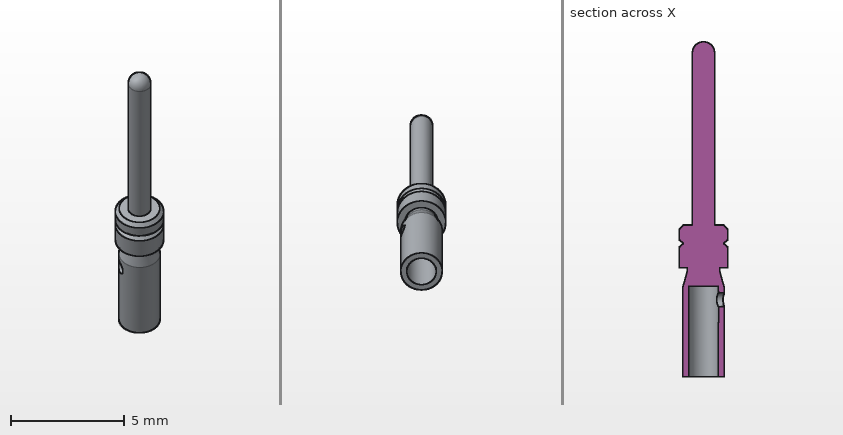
import cadquery as cq
import math

total_length = 14.8
pin_radius = 0.5
collar_diameter = 2.15
collar_radius = collar_diameter / 2
neck_radius = 0.74
barrel_radius = 0.92

barrel_top = 4.0
neck_bottom = 4.63
collar_bottom = 4.81
collar_top = 6.7
collar_chamfer = 0.18

groove_depth = 0.18
groove_height = 0.3
groove_bottom = 5.74
groove_top = groove_bottom + groove_height
groove_middle = groove_bottom + groove_height / 2

bore_radius = 0.65
bore_depth = 4.0
hole_radius = 0.3
hole_height = 3.4


def contact_body():
    """Revolve the half outline of the contact about the Z axis."""
    dome_base = total_length - pin_radius
    dome_offset = pin_radius * math.sqrt(0.5)
    return (
        cq.Workplane("XZ")
        .moveTo(0, 0)
        .lineTo(barrel_radius, 0)
        .lineTo(barrel_radius, barrel_top)
        .lineTo(neck_radius, neck_bottom)
        .lineTo(neck_radius, collar_bottom)
        .lineTo(collar_radius, collar_bottom)
        .lineTo(collar_radius, groove_bottom)
        .lineTo(collar_radius - groove_depth, groove_middle)
        .lineTo(collar_radius, groove_top)
        .lineTo(collar_radius, collar_top - collar_chamfer)
        .lineTo(collar_radius - collar_chamfer, collar_top)
        .lineTo(pin_radius, collar_top)
        .lineTo(pin_radius, dome_base)
        .threePointArc((dome_offset, dome_base + dome_offset), (0, total_length))
        .close()
        .revolve(360, (0, 0, 0), (0, 1, 0))
    )


def wire_bore():
    """Blind bore rising from the bottom of the barrel."""
    return cq.Workplane("XY").circle(bore_radius).extrude(bore_depth)


def inspection_hole():
    """Radial hole through the front wall of the barrel into the bore."""
    return (
        cq.Workplane("XZ")
        .center(0, hole_height)
        .circle(hole_radius)
        .extrude(collar_radius)
    )


result = contact_body().cut(wire_bore()).cut(inspection_hole())